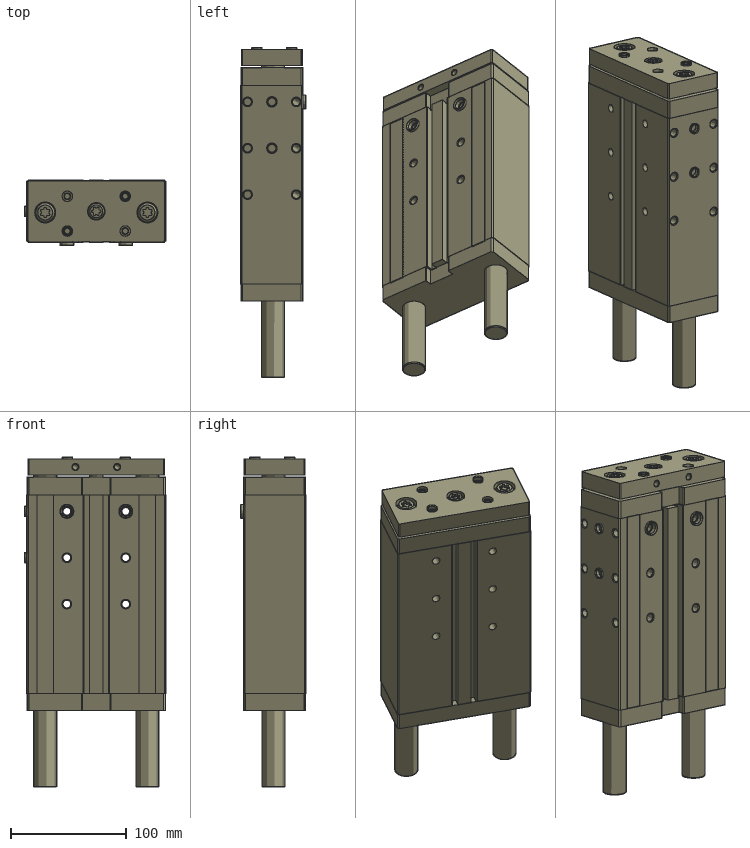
import cadquery as cq
import math


CAP_WIDTH = 119.5
FRONT_Y = -26.75
CAP_BACK_Y = 26.5
CAP_CHAMFER = 1.7
CAP_BACK_CHAMFER_Y = 1.3
BOTTOM_CAP_HEIGHT = 15.0
TOP_CAP_HEIGHT = 15.5
CAP_SLOT_HALF_WIDTH = 11.9
CAP_SLOT_DEPTH = 6.3
CAP_SLOT_CHAMFER = 0.8

PROFILE_WIDTH = 120.0
PROFILE_BACK_Y = 27.0
PROFILE_DEPTH = PROFILE_BACK_Y - FRONT_Y
PROFILE_LENGTH = 171.0
PROFILE_CHAMFER = 1.3
PROFILE_TOP_Z = BOTTOM_CAP_HEIGHT + PROFILE_LENGTH
BODY_TOP_Z = PROFILE_TOP_Z + TOP_CAP_HEIGHT

GROOVE_INNER_X = 5.7
GROOVE_OUTER_X = 10.6
GROOVE_DEPTH = 7.0
GROOVE_CHAMFER_X = 1.0
GROOVE_CHAMFER_Y = 0.4
RECESS_INNER_X = 37.0
RECESS_OUTER_X = 51.0
RECESS_DEPTH = 1.0

PLATE_WIDTH = 117.8
PLATE_DEPTH = 52.6
PLATE_HEIGHT = 14.0
PLATE_CHAMFER = 1.0
PLATE_GAP = 1.8
PLATE_Z = BODY_TOP_Z + PLATE_GAP
PLATE_TOP_Z = PLATE_Z + PLATE_HEIGHT
GUIDE_DIAMETER = 20.0
GUIDE_X = 44.1
GUIDE_Y = -1.0
GUIDE_STICKOUT = 66.0
GUIDE_CHAMFER = 0.8
PISTON_ROD_DIAMETER = 12.0
PISTON_HOLE_DEPTH = BODY_TOP_Z - BOTTOM_CAP_HEIGHT

SCREW_TOP_SUNK = 0.5
GUIDE_SCREW = dict(bore=18.0, head=16.6, flat=12.8, height=5.5, socket=8.8, turn=30.0)
PISTON_SCREW = dict(bore=15.0, head=14.0, flat=11.0, height=4.4, socket=8.0, turn=0.0)
HEAD_RIM_HEIGHT = 1.5
SOCKET_DEPTH = 2.5
SOCKET_LOBES = 6
SOCKET_CORE_RATIO = 0.72
SOCKET_LOBE_RATIO = 0.26

ROW_PITCH = 40.0
TOP_ROW_DEPTH = 29.5
TOP_ROW_Z = BODY_TOP_Z - TOP_ROW_DEPTH
ROWS_Z = [TOP_ROW_Z - row * ROW_PITCH for row in range(3)]
THROUGH_HOLE_X = 25.4
M8_CORE = 6.65
M8_MOUTH = 8.2
SIDE_HOLE_Y = 21.0
SIDE_HOLE_DEPTH = 14.0
M6_CORE = 4.92
M6_MOUTH = 6.0
PLATE_FRONT_HOLE_X = 18.0
PLATE_FRONT_HOLE_DEPTH = 12.0
PLATE_HOLE_X = 25.0
PLATE_HOLE_HALF_PITCH_Y = 15.0
PLATE_HOLE_CENTRE_Y = -2.0
DRILL_TIP_ANGLE = 118.0

SMALL_SLEEVE = dict(outer=9.0, inner=6.8, mouth=8.4, length=4.0, chamfer=0.2)
LARGE_SLEEVE = dict(outer=12.0, inner=8.8, mouth=11.0, length=5.0, chamfer=0.3)
TOP_SLEEVE_STICKOUT = 1.5
SIDE_SLEEVE_STICKOUT = 1.8
FRONT_SLEEVE_STICKOUT = 2.55

SIDE_X = -PROFILE_WIDTH / 2
ORIGIN = cq.Vector(0, 0, 0)
INTO_FRONT = cq.Vector(0, 1, 0)
INTO_SIDE = cq.Vector(1, 0, 0)
UP = cq.Vector(0, 0, 1)
DOWN = cq.Vector(0, 0, -1)

GUIDE_POINTS = [(side * GUIDE_X, GUIDE_Y) for side in (-1, 1)]
FRONT_SLEEVE_POINTS = [cq.Vector(side * THROUGH_HOLE_X, FRONT_Y, TOP_ROW_Z) for side in (-1, 1)]
SIDE_SLEEVE_POINTS = [cq.Vector(SIDE_X, 0, z) for z in ROWS_Z[:2]]
PLATE_HOLE_POINTS = [
    cq.Vector(side_x * PLATE_HOLE_X, PLATE_HOLE_CENTRE_Y + side_y * PLATE_HOLE_HALF_PITCH_Y, PLATE_TOP_Z)
    for side_x in (-1, 1)
    for side_y in (-1, 1)
]
PLATE_SLEEVE_POINTS = [PLATE_HOLE_POINTS[0], PLATE_HOLE_POINTS[3]]


def cylinder(diameter, length, start, direction):
    return cq.Workplane(cq.Solid.makeCylinder(diameter / 2, length, start, direction))


def mouth_chamfer(core, mouth, start, direction):
    """Cone that widens a hole to its mouth diameter at 45 degrees."""
    return cq.Workplane(cq.Solid.makeCone(mouth / 2, core / 2, (mouth - core) / 2, start, direction))


def flat_hole(core, mouth, depth, start, direction):
    """Hole with a chamfered mouth and a flat bottom, or a through hole of the full depth."""
    return cylinder(core, depth, start, direction).union(mouth_chamfer(core, mouth, start, direction))


def drilled_hole(core, mouth, depth, start, direction):
    """Hole with a chamfered mouth and a conical drill tip."""
    tip_length = core / 2 / math.tan(math.radians(DRILL_TIP_ANGLE / 2))
    tip = cq.Solid.makeCone(core / 2, 0, tip_length, start + direction * depth, direction)
    return flat_hole(core, mouth, depth, start, direction).union(cq.Workplane(tip))


def cut_rod_holes(body):
    """Cuts the sliding holes of the two guide rods and the piston rod, over the rods' full length."""
    for x, y in GUIDE_POINTS:
        body = body.cut(cylinder(GUIDE_DIAMETER, BODY_TOP_Z, cq.Vector(x, y, BODY_TOP_Z), DOWN))
    return body.cut(cylinder(PISTON_ROD_DIAMETER, PISTON_HOLE_DEPTH, cq.Vector(0, 0, BODY_TOP_Z), DOWN))


def make_cap(base_z, height):
    half = CAP_WIDTH / 2
    inset = half - CAP_CHAMFER
    floor_y = FRONT_Y + CAP_SLOT_DEPTH
    slot = CAP_SLOT_HALF_WIDTH
    right_side = [
        (slot, floor_y),
        (slot, FRONT_Y + CAP_SLOT_CHAMFER),
        (slot + CAP_SLOT_CHAMFER, FRONT_Y),
        (inset, FRONT_Y),
        (half, FRONT_Y + CAP_CHAMFER),
        (half, CAP_BACK_Y - CAP_BACK_CHAMFER_Y),
        (inset, CAP_BACK_Y),
    ]
    left_side = [(-x, y) for x, y in reversed(right_side)]
    cap = cq.Workplane("XY").workplane(offset=base_z).polyline(right_side + left_side).close().extrude(height)
    return cut_rod_holes(cap)


def profile_right_half():
    """Outline of the right half of the housing profile, from its front rib round to its back rib.

    Points are (x, depth below the front or back face). Only the front has the shallow recess.
    """
    half = PROFILE_WIDTH / 2
    groove_mouth = GROOVE_OUTER_X + GROOVE_CHAMFER_X
    groove = [
        (GROOVE_INNER_X, 0),
        (GROOVE_INNER_X, GROOVE_DEPTH),
        (GROOVE_OUTER_X, GROOVE_DEPTH),
        (GROOVE_OUTER_X, GROOVE_CHAMFER_Y),
        (groove_mouth, 0),
    ]
    recess = [
        (RECESS_INNER_X, 0),
        (RECESS_INNER_X, RECESS_DEPTH),
        (RECESS_OUTER_X, RECESS_DEPTH),
        (RECESS_OUTER_X, 0),
    ]
    corner = [(half - PROFILE_CHAMFER, 0), (half, PROFILE_CHAMFER)]
    front = [(x, FRONT_Y + depth) for x, depth in groove + recess + corner]
    back = [(x, PROFILE_BACK_Y - depth) for x, depth in groove + corner]
    return front + back[::-1]


def make_housing():
    right = profile_right_half()
    left = [(-x, y) for x, y in reversed(right)]
    plane = cq.Workplane("XY").workplane(offset=BOTTOM_CAP_HEIGHT)
    housing = plane.polyline(right + left).close().extrude(PROFILE_LENGTH)
    housing = cut_rod_holes(housing)

    for z in ROWS_Z:
        for side in (-1, 1):
            mouth = cq.Vector(side * THROUGH_HOLE_X, FRONT_Y, z)
            housing = housing.cut(flat_hole(M8_CORE, M8_MOUTH, PROFILE_DEPTH, mouth, INTO_FRONT))
        front_mouth = cq.Vector(SIDE_X, -SIDE_HOLE_Y, z)
        housing = housing.cut(drilled_hole(M8_CORE, M8_MOUTH, SIDE_HOLE_DEPTH, front_mouth, INTO_SIDE))
        back_mouth = cq.Vector(SIDE_X, SIDE_HOLE_Y, z)
        housing = housing.cut(flat_hole(M8_CORE, M8_MOUTH, SIDE_HOLE_DEPTH, back_mouth, INTO_SIDE))

    for point in FRONT_SLEEVE_POINTS:
        depth = LARGE_SLEEVE["length"] - FRONT_SLEEVE_STICKOUT
        housing = housing.cut(cylinder(LARGE_SLEEVE["outer"], depth, point, INTO_FRONT))
    for point in SIDE_SLEEVE_POINTS:
        depth = SMALL_SLEEVE["length"] - SIDE_SLEEVE_STICKOUT
        housing = housing.cut(cylinder(SMALL_SLEEVE["outer"], depth, point, INTO_SIDE))
    return housing


def add_screw(plate, x, y, screw):
    """Counterbore with a button-head screw in it, fused to the plate, with a six-lobe socket."""
    top_z = PLATE_TOP_Z - SCREW_TOP_SUNK
    seat_z = top_z - screw["height"]
    plate = plate.cut(cylinder(screw["bore"], PLATE_TOP_Z - seat_z, cq.Vector(x, y, PLATE_TOP_Z), DOWN))

    head_radius = screw["head"] / 2
    flat_radius = screw["flat"] / 2
    head = (
        cq.Workplane("XZ")
        .lineTo(head_radius, 0)
        .lineTo(head_radius, HEAD_RIM_HEIGHT)
        .lineTo(flat_radius, screw["height"])
        .lineTo(0, screw["height"])
        .close()
        .revolve(360, (0, 0, 0), (0, 1, 0))
        .translate((x, y, seat_z))
    )
    lobe_diameter = screw["socket"] * SOCKET_LOBE_RATIO
    lobe_centre = (screw["socket"] - lobe_diameter) / 2
    centre = cq.Vector(x, y, top_z)
    head = head.cut(cylinder(screw["socket"] * SOCKET_CORE_RATIO, SOCKET_DEPTH, centre, DOWN))
    for lobe in range(SOCKET_LOBES):
        angle = math.radians(screw["turn"] + lobe * 360 / SOCKET_LOBES)
        offset = cq.Vector(math.cos(angle), math.sin(angle), 0) * lobe_centre
        head = head.cut(cylinder(lobe_diameter, SOCKET_DEPTH, centre + offset, DOWN))
    return plate.union(head)


def make_yoke():
    yoke = (
        cq.Workplane("XY")
        .workplane(offset=PLATE_Z)
        .rect(PLATE_WIDTH, PLATE_DEPTH)
        .extrude(PLATE_HEIGHT)
        .edges("|Z")
        .chamfer(PLATE_CHAMFER)
    )
    for side in (-1, 1):
        start = cq.Vector(side * PLATE_FRONT_HOLE_X, -PLATE_DEPTH / 2, PLATE_Z + PLATE_HEIGHT / 2)
        yoke = yoke.cut(drilled_hole(M6_CORE, M6_MOUTH, PLATE_FRONT_HOLE_DEPTH, start, INTO_FRONT))
    for point in PLATE_HOLE_POINTS:
        depth = SMALL_SLEEVE["length"] - TOP_SLEEVE_STICKOUT
        yoke = yoke.cut(cylinder(SMALL_SLEEVE["outer"], depth, point, DOWN))
        seat = point + DOWN * depth
        yoke = yoke.cut(flat_hole(M6_CORE, M6_MOUTH, PLATE_HEIGHT - depth, seat, DOWN))

    guides = (
        cq.Workplane("XY")
        .workplane(offset=-GUIDE_STICKOUT)
        .pushPoints(GUIDE_POINTS)
        .circle(GUIDE_DIAMETER / 2)
        .extrude(GUIDE_STICKOUT + PLATE_Z)
        .faces("<Z")
        .chamfer(GUIDE_CHAMFER)
    )
    piston_length = PISTON_HOLE_DEPTH + PLATE_GAP
    piston_rod = cylinder(PISTON_ROD_DIAMETER, piston_length, cq.Vector(0, 0, PLATE_Z), DOWN)
    yoke = yoke.union(guides).union(piston_rod)
    for x, y in GUIDE_POINTS:
        yoke = add_screw(yoke, x, y, GUIDE_SCREW)
    return add_screw(yoke, 0, 0, PISTON_SCREW)


def make_sleeve(sleeve, stickout, mouth, direction):
    """Ring with a chamfered bore, pressed into its pocket, standing out of the surface by `stickout`."""
    start = mouth - direction * stickout
    chamfer = sleeve["chamfer"]
    ring = cylinder(sleeve["outer"], sleeve["length"], ORIGIN, UP)
    ring = ring.faces("<Z").chamfer(chamfer)
    ring = ring.cut(cylinder(sleeve["inner"], sleeve["length"], ORIGIN, UP))
    ring = ring.cut(mouth_chamfer(sleeve["inner"], sleeve["mouth"], ORIGIN, UP))
    seat = cq.Plane(origin=start, normal=direction)
    return cq.Workplane(ring.val().moved(seat.location))


housing = make_housing()
bottom_cap = make_cap(0, BOTTOM_CAP_HEIGHT)
top_cap = make_cap(PROFILE_TOP_Z, TOP_CAP_HEIGHT)
yoke = make_yoke()
sleeves = (
    [make_sleeve(SMALL_SLEEVE, TOP_SLEEVE_STICKOUT, point, DOWN) for point in PLATE_SLEEVE_POINTS]
    + [make_sleeve(SMALL_SLEEVE, SIDE_SLEEVE_STICKOUT, point, INTO_SIDE) for point in SIDE_SLEEVE_POINTS]
    + [make_sleeve(LARGE_SLEEVE, FRONT_SLEEVE_STICKOUT, point, INTO_FRONT) for point in FRONT_SLEEVE_POINTS]
)

result = cq.Compound.makeCompound(
    [housing.val(), bottom_cap.val(), top_cap.val(), yoke.val(), *[sleeve.val() for sleeve in sleeves]]
)